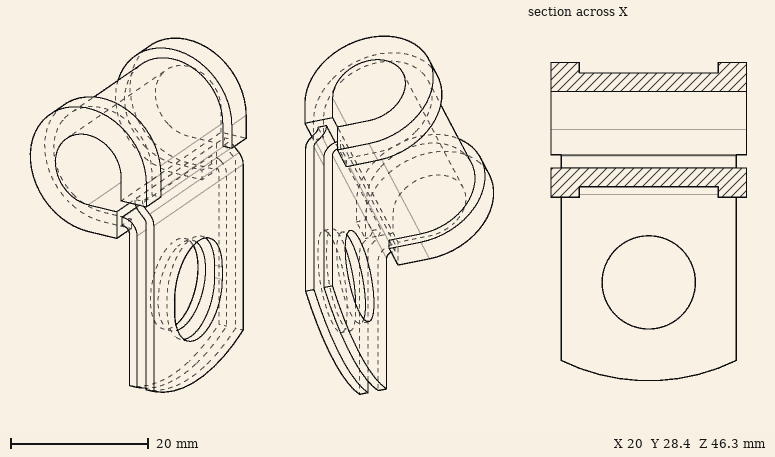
import cadquery as cq
import math

total_height = 46.3
length = 28.45
flange_width = 4.1
flange_radius = 9.8
bore_radius = 5.55
upper_end_z = -3.65
lower_end_x = 4.8

strap_thickness = 1.3
strap_radius = 8.3
strap_mid_radius = strap_radius - strap_thickness / 2
bend_radius = 1.75
near_tab_x = 6.7
far_tab_x = 9.55
jog_mid_z = -5.45
jog_angle = math.radians(45)

tab_width = 25.48
tab_bottom_z = flange_radius - total_height
tab_arc_height = 2.95
hole_diameter = 13.53
hole_z = -22.2
slot_travel = 2.0


def c_sleeve(outer_radius, width):
    """Open sleeve centred on Y: three quarters of a ring with a straight leg at each end."""
    return (
        cq.Workplane("XZ")
        .moveTo(outer_radius, upper_end_z)
        .lineTo(outer_radius, 0)
        .threePointArc((-outer_radius * math.sqrt(0.5), outer_radius * math.sqrt(0.5)), (0, -outer_radius))
        .lineTo(lower_end_x, -outer_radius)
        .lineTo(lower_end_x, -bore_radius)
        .lineTo(0, -bore_radius)
        .threePointArc((-bore_radius * math.sqrt(0.5), bore_radius * math.sqrt(0.5)), (bore_radius, 0))
        .lineTo(bore_radius, upper_end_z)
        .close()
        .extrude(width / 2, both=True)
    )


def flanges():
    """Thick rims at the two ends of the sleeve."""
    gap = cq.Workplane("XY").box(3 * flange_radius, length - 2 * flange_width, 3 * flange_radius)
    return c_sleeve(flange_radius, length).cut(gap)


def near_tab():
    """Tab that leaves the lower leg and bends down through a right angle."""
    path = (
        cq.Workplane("XZ")
        .moveTo(lower_end_x, -strap_mid_radius)
        .lineTo(near_tab_x - bend_radius, -strap_mid_radius)
        .tangentArcPoint((near_tab_x, -strap_mid_radius - bend_radius), relative=False)
        .lineTo(near_tab_x, tab_bottom_z)
    )
    section = cq.Workplane("YZ", origin=(lower_end_x, 0, -strap_mid_radius))
    return section.rect(tab_width, strap_thickness).sweep(path)


def far_tab():
    """Tab that leaves the upper leg and jogs outward before running straight down."""
    shift = far_tab_x - strap_mid_radius
    half_height = shift / 2 / math.tan(jog_angle) + bend_radius * math.tan(jog_angle / 2)
    arc_x = bend_radius * (1 - math.cos(jog_angle))
    arc_z = bend_radius * math.sin(jog_angle)
    jog_top_z = jog_mid_z + half_height
    jog_bottom_z = jog_mid_z - half_height
    path = (
        cq.Workplane("XZ")
        .moveTo(strap_mid_radius, upper_end_z)
        .lineTo(strap_mid_radius, jog_top_z)
        .tangentArcPoint((strap_mid_radius + arc_x, jog_top_z - arc_z), relative=False)
        .lineTo(far_tab_x - arc_x, jog_bottom_z + arc_z)
        .tangentArcPoint((far_tab_x, jog_bottom_z), relative=False)
        .lineTo(far_tab_x, tab_bottom_z)
    )
    section = cq.Workplane("XY", origin=(strap_mid_radius, 0, upper_end_z))
    return section.rect(strap_thickness, tab_width).sweep(path)


def tab_outline():
    """Block along X that trims the tabs to their rounded lower edge."""
    corner_z = tab_bottom_z + tab_arc_height
    return (
        cq.Workplane("YZ")
        .moveTo(-tab_width / 2, 0)
        .lineTo(-tab_width / 2, corner_z)
        .threePointArc((0, tab_bottom_z), (tab_width / 2, corner_z))
        .lineTo(tab_width / 2, 0)
        .close()
        .extrude(2 * flange_radius)
    )


def near_hole():
    """Round bolt hole."""
    return (
        cq.Workplane("YZ")
        .center(0, hole_z)
        .circle(hole_diameter / 2)
        .extrude(2 * flange_radius)
    )


def far_hole():
    """Bolt slot, slightly taller than the round hole so the tabs can shift as they close."""
    return (
        cq.Workplane("YZ")
        .center(0, hole_z)
        .slot2D(hole_diameter + slot_travel, hole_diameter, 90)
        .extrude(2 * flange_radius)
    )


tabs = near_tab().cut(near_hole()).union(far_tab().cut(far_hole())).intersect(tab_outline())
result = c_sleeve(strap_radius, length).union(flanges()).union(tabs)